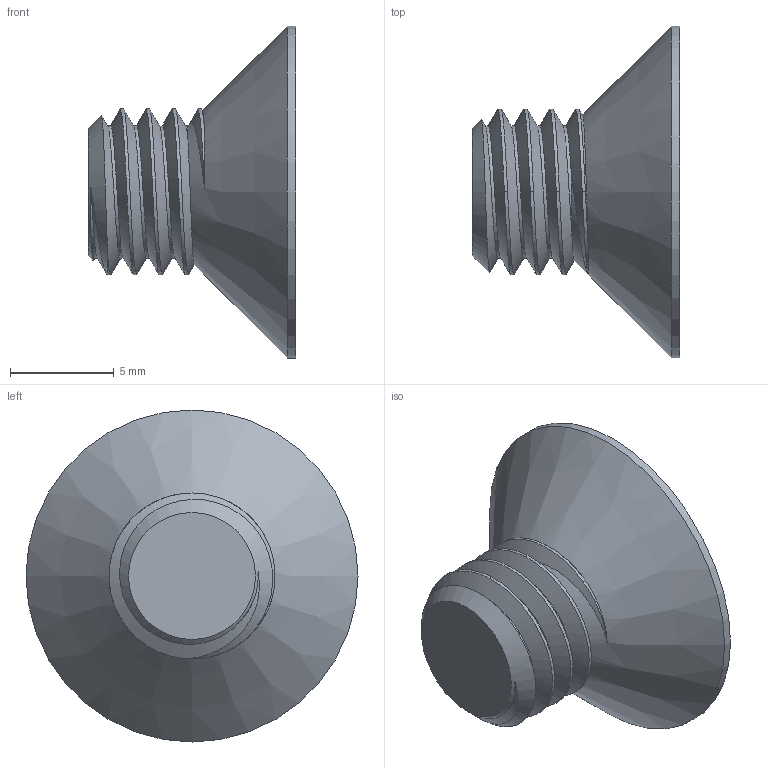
import cadquery as cq
import math

LENGTH = 10.0
HEAD_DIAMETER = 16.0
HEAD_RIM = 0.4
THREAD_DIAMETER = 8.0
PITCH = 1.25
TIP_DIAMETER = 6.12
GROOVE_PHASE = 0.375
FLANK_ANGLE = 30.0
GROOVE_OVERCUT = 0.08

head_radius = HEAD_DIAMETER / 2
crest_radius = THREAD_DIAMETER / 2
tip_radius = TIP_DIAMETER / 2
tip_chamfer = crest_radius - tip_radius

crest_flat = PITCH / 8
root_flat = PITCH / 8
flank_slope = math.tan(math.radians(FLANK_ANGLE))
thread_depth = (PITCH - crest_flat - root_flat) / 2 / flank_slope
root_radius = crest_radius - thread_depth

cone_end = LENGTH - HEAD_RIM
cone_apex = cone_end - head_radius


def revolve_about_x(outline):
    """Revolve a closed (X, radius) outline into a solid of revolution about X."""
    return cq.Workplane("XZ").polyline(outline).close().revolve(axisStart=(0, 0, 0), axisEnd=(1, 0, 0))


def make_head():
    """Solid countersunk head: the full cone down to its apex, plus the rim."""
    return revolve_about_x([
        (cone_apex, 0),
        (cone_end, head_radius),
        (LENGTH, head_radius),
        (LENGTH, 0),
    ])


def make_shank_blank():
    """Unthreaded shank with a chamfered tip, running on into the head."""
    return revolve_about_x([
        (0, 0),
        (0, tip_radius),
        (tip_chamfer, crest_radius),
        (cone_end, crest_radius),
        (cone_end, 0),
    ])


def make_thread_groove():
    """Right-hand helical groove cutter, built along Z and then turned to lie along X."""
    start = GROOVE_PHASE - PITCH
    crest_meets_cone = cone_apex + crest_radius
    turns = math.ceil((crest_meets_cone + PITCH / 2 - start) / PITCH)
    outer_radius = crest_radius + GROOVE_OVERCUT
    half_root = root_flat / 2
    half_mouth = half_root + (outer_radius - root_radius) * flank_slope

    helix = cq.Wire.makeHelix(PITCH, turns * PITCH, root_radius)
    groove = (
        cq.Workplane("XZ")
        .polyline([
            (root_radius, -half_root),
            (outer_radius, -half_mouth),
            (outer_radius, half_mouth),
            (root_radius, half_root),
        ])
        .close()
        .sweep(cq.Workplane(helix), isFrenet=True)
    )
    return groove.rotate((0, 0, 0), (0, 1, 0), 90).translate((start, 0, 0))


shank = make_shank_blank().cut(make_thread_groove())
result = shank.union(make_head())